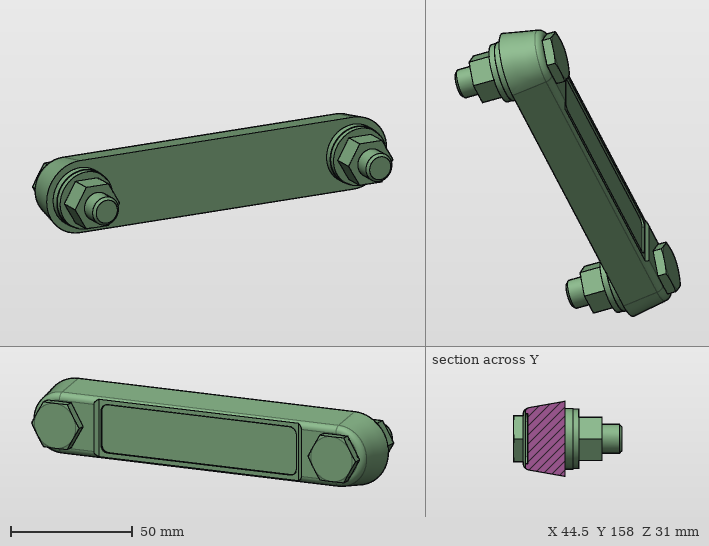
import cadquery as cq
import math

length = 158.0
width = 31.0
bolt_offset = (length - width) / 2

head_top = 0.0
body_front = 4.0
body_back = 21.2
collar_end = 24.3
washer_end = 26.9
nut_end = 36.3
stud_end = 44.5

draft_angle = 10.0
edge_radius = 3.0

relief_depth = 1.0
relief_floor_length = 91.6
relief_slope_run = 1.9

pocket_length = 89.7
pocket_width = 20.4
pocket_depth = 1.0
pocket_corner_radius = 3.0

head_across_flats = 19.0
head_chamfer_height = 0.3
collar_diameter = 25.0
washer_diameter = 24.5
nut_across_flats = 17.9
stud_diameter = 12.0
stud_chamfer = 1.1


def corner_diameter(across_flats):
    """Diameter through the corners of a hexagon."""
    return across_flats / math.cos(math.pi / 6)


def plane_at(x):
    """Plane across the bolts, with local axes along Y and Z."""
    return cq.Workplane("YZ", origin=(x, 0, 0))


def disc(x_start, x_end, diameter):
    return plane_at(x_start).circle(diameter / 2).extrude(x_end - x_start)


def hexagon(x_start, x_end, across_flats):
    """Hexagonal prism with two corners on the Y axis."""
    return plane_at(x_start).polygon(6, corner_diameter(across_flats)).extrude(x_end - x_start)


def make_body():
    """Drafted rounded bar, widest at the back, with a rounded front edge."""
    body = (
        plane_at(body_back)
        .slot2D(length, width)
        .extrude(body_front - body_back, taper=draft_angle)
    )
    return body.faces("<X").edges().fillet(edge_radius)


def make_relief():
    """Cutter for the relief, wider at the surface than at its floor."""
    floor_x = body_front + relief_depth
    floor_end = relief_floor_length / 2
    surface_end = floor_end + relief_slope_run
    return (
        cq.Workplane("XY")
        .polyline([
            (body_front, -surface_end),
            (floor_x, -floor_end),
            (floor_x, floor_end),
            (body_front, surface_end),
        ])
        .close()
        .extrude(width / 2, both=True)
    )


def make_pocket():
    """Cutter for the round-cornered label pocket."""
    return (
        plane_at(body_front + relief_depth)
        .rect(pocket_length, pocket_width)
        .extrude(pocket_depth)
        .edges("|X")
        .fillet(pocket_corner_radius)
    )


def make_head():
    """Hexagonal bolt head with its corners trimmed to a circle on the front face."""
    trimming_cone = (
        plane_at(head_top)
        .circle(corner_diameter(head_across_flats) / 2)
        .extrude(body_front - head_top)
        .faces("<X")
        .chamfer(head_chamfer_height, (corner_diameter(head_across_flats) - head_across_flats) / 2)
    )
    return hexagon(head_top, body_front, head_across_flats).intersect(trimming_cone)


def make_bolt():
    """Head, collar, washer, nut and stud on one axis."""
    stud = disc(nut_end, stud_end, stud_diameter).faces(">X").chamfer(stud_chamfer)
    return (
        make_head()
        .union(disc(body_back, collar_end, collar_diameter))
        .union(disc(collar_end, washer_end, washer_diameter))
        .union(hexagon(washer_end, nut_end, nut_across_flats))
        .union(stud)
    )


result = make_body().cut(make_relief()).cut(make_pocket())
for side in (-1, 1):
    result = result.union(make_bolt().translate((0, side * bolt_offset, 0)))